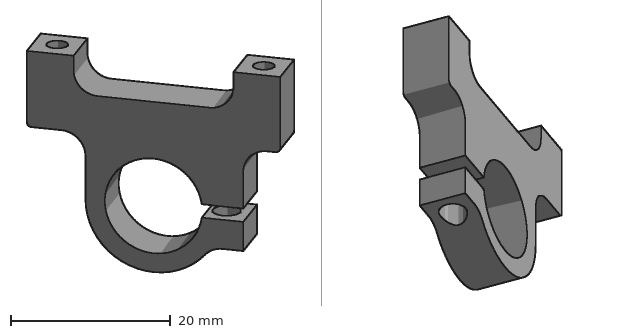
import cadquery as cq
import math

width = 33.02
thickness = 6.35
top_height = 19.05

ear_width = 6.1
notch_depth = 5.1
crossbar_bottom_drop = 10.17
inner_fillet = 3.1
ear_corner_fillet = 0.63

ring_radius = 8.88
bore_radius = 6.35
slot_width = 1.78
lug_end = 11.7
lug_drop = 4.82
lug_fillet = 3.1

ear_hole_diameter = 2.7
ear_hole_depth = 7.6
drill_point_angle = 118.0
screw_hole_diameter = 3.55
screw_hole_x = 8.62

half_width = width / 2
notch_x = half_width - ear_width
notch_z = top_height - notch_depth
crossbar_z = top_height - crossbar_bottom_drop


def add_arc(sketch, center, radius, start_angle, end_angle):
    """Append a circular arc, given by its center and end angles in degrees."""
    def point(angle):
        a = math.radians(angle)
        return (center[0] + radius * math.cos(a), center[1] + radius * math.sin(a))

    return sketch.threePointArc(point((start_angle + end_angle) / 2), point(end_angle))


def make_body():
    fillet_z = -lug_drop - lug_fillet
    fillet_x = math.sqrt((ring_radius + lug_fillet) ** 2 - fillet_z ** 2)
    contact_angle = math.degrees(math.atan2(fillet_z, fillet_x))

    outline = (
        cq.Workplane("XZ")
        .moveTo(-half_width, top_height)
        .lineTo(-notch_x, top_height)
        .lineTo(-notch_x, notch_z)
        .lineTo(notch_x, notch_z)
        .lineTo(notch_x, top_height)
        .lineTo(half_width, top_height)
        .lineTo(half_width, crossbar_z)
        .lineTo(lug_end, crossbar_z)
        .lineTo(lug_end, -lug_drop)
        .lineTo(fillet_x, -lug_drop)
    )
    outline = add_arc(outline, (fillet_x, fillet_z), lug_fillet, 90, 180 + contact_angle)
    outline = add_arc(outline, (0, 0), ring_radius, contact_angle, -180)
    outline = outline.lineTo(-ring_radius, crossbar_z).lineTo(-half_width, crossbar_z).close()
    return outline.extrude(thickness / 2, both=True)


def edges_at(body, points):
    """Select the thickness-direction edges through the given (x, z) points."""
    edges = body.edges(cq.selectors.NearestToPointSelector((points[0][0], 0, points[0][1])))
    for x, z in points[1:]:
        edges = edges.add(body.edges(cq.selectors.NearestToPointSelector((x, 0, z))))
    return edges


def round_corners(body):
    inner_corners = [
        (-notch_x, notch_z),
        (notch_x, notch_z),
        (-ring_radius, crossbar_z),
        (lug_end, crossbar_z),
    ]
    ear_corners = [(-half_width, crossbar_z), (half_width, crossbar_z)]
    body = edges_at(body, inner_corners).fillet(inner_fillet)
    return edges_at(body, ear_corners).fillet(ear_corner_fillet)


def make_bore_and_slot():
    bore = cq.Workplane("XZ").circle(bore_radius).extrude(thickness / 2, both=True)
    slot = cq.Workplane("XY").box(lug_end, thickness, slot_width, centered=(False, True, True))
    return bore.union(slot)


def make_ear_hole(x):
    """Blind drilled hole with a conical bottom, opening in an ear top."""
    radius = ear_hole_diameter / 2
    tip_length = radius / math.tan(math.radians(drill_point_angle / 2))
    return (
        cq.Workplane("XZ")
        .polyline([
            (0, 0),
            (radius, 0),
            (radius, -ear_hole_depth),
            (0, -ear_hole_depth - tip_length),
        ])
        .close()
        .revolve(360, (0, 0), (0, 1))
        .translate((x, 0, top_height))
    )


def make_screw_hole():
    """Vertical clearance hole from the slot down through the lug."""
    return (
        cq.Workplane("XY")
        .center(screw_hole_x, 0)
        .circle(screw_hole_diameter / 2)
        .extrude(-ring_radius)
    )


result = round_corners(make_body()).cut(make_bore_and_slot()).cut(make_screw_hole())
ear_hole_x = half_width - ear_width / 2
for side in (-1, 1):
    result = result.cut(make_ear_hole(side * ear_hole_x))